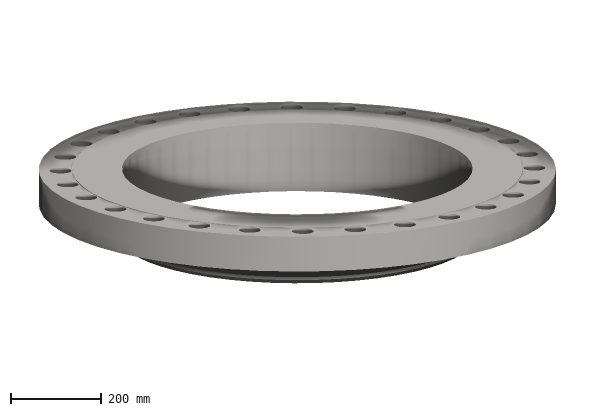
import cadquery as cq

flange_diameter = 1149.0
flange_radius = flange_diameter / 2
total_height = 157.0
bore_radius = 390.0

plate_thickness = 82.0
raised_face_radius = 501.0
raised_face_height = 1.6

hub_base_radius = 474.0
hub_base_length = 2.0
neck_radius = 406.0
neck_length = 7.0
bevel_height = 10.0
weld_land_radius = 394.0

bolt_count = 28
bolt_circle_radius = 526.0
bolt_hole_diameter = 48.0

plate_top = total_height - raised_face_height
plate_bottom = total_height - plate_thickness
neck_top = bevel_height + neck_length
taper_top = plate_bottom - hub_base_length


def flange_body():
    """Revolve the half section of the flange, hub and bore about Z."""
    section = [
        (bore_radius, 0),
        (weld_land_radius, 0),
        (neck_radius, bevel_height),
        (neck_radius, neck_top),
        (hub_base_radius, taper_top),
        (hub_base_radius, plate_bottom),
        (flange_radius, plate_bottom),
        (flange_radius, plate_top),
        (raised_face_radius, plate_top),
        (raised_face_radius, total_height),
        (bore_radius, total_height),
    ]
    return cq.Workplane("XZ").polyline(section).close().revolve(360, (0, 0, 0), (0, 1, 0))


def bolt_holes():
    """Through holes evenly spaced on the bolt circle, the first on the X axis."""
    return (
        cq.Workplane("XY")
        .polarArray(bolt_circle_radius, 0, 360, bolt_count)
        .circle(bolt_hole_diameter / 2)
        .extrude(total_height)
    )


result = flange_body().cut(bolt_holes())